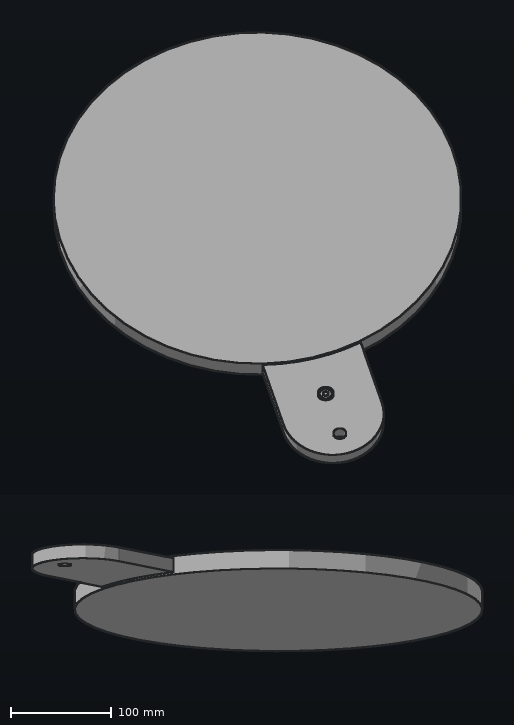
import cadquery as cq

overall_length = 527.0
disc_diameter = 406.5
disc_thickness = 19.0

handle_width = 101.5
handle_thickness = 14.0

hang_hole_diameter = 12.5
hang_hole_from_tip = 25.5

mark_from_tip = 76.5
mark_outer_diameter = 16.0
mark_inner_diameter = 12.5
mark_dimple_diameter = 5.5
mark_depth = 1.0

disc_radius = disc_diameter / 2
handle_radius = handle_width / 2
handle_tip_x = overall_length - disc_radius
handle_arc_x = handle_tip_x - handle_radius
handle_top_z = handle_thickness / 2


def make_disc():
    """Round plate centred on the origin."""
    return cq.Workplane("XY").circle(disc_radius).extrude(disc_thickness / 2, both=True)


def make_handle():
    """Tab running from the disc centre to a semicircular tip."""
    return (
        cq.Workplane("XY")
        .moveTo(0, -handle_radius)
        .lineTo(handle_arc_x, -handle_radius)
        .threePointArc((handle_tip_x, 0), (handle_arc_x, handle_radius))
        .lineTo(0, handle_radius)
        .close()
        .extrude(handle_thickness / 2, both=True)
    )


def handle_bore(from_tip, diameter, depth):
    """Round cutter sunk from the handle's top face."""
    return (
        cq.Workplane("XY", origin=(handle_tip_x - from_tip, 0, handle_top_z))
        .circle(diameter / 2)
        .extrude(-depth)
    )


def make_mark():
    """Shallow ring with a round centre dimple, sunk from the handle's top face."""
    outer = handle_bore(mark_from_tip, mark_outer_diameter, mark_depth)
    inner = handle_bore(mark_from_tip, mark_inner_diameter, mark_depth)
    dimple = handle_bore(mark_from_tip, mark_dimple_diameter, mark_depth)
    return outer.cut(inner).union(dimple)


result = make_disc().union(make_handle())
result = result.cut(handle_bore(hang_hole_from_tip, hang_hole_diameter, handle_thickness))
result = result.cut(make_mark())